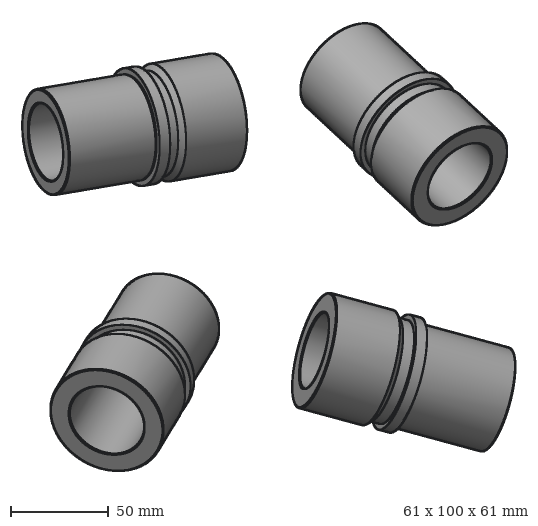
import cadquery as cq

length = 100.0
collar_start = 50.0
collar_width = 6.0
neck_end = 62.0
relief_width = 0.4

body_diameter = 61.0
spigot_diameter = 55.0
bore_diameter = 40.0

edge_chamfer = 0.5

body_radius = body_diameter / 2
spigot_radius = spigot_diameter / 2
bore_radius = bore_diameter / 2
collar_end = collar_start + collar_width

relief_start = collar_start - relief_width
relief_radius = spigot_radius - edge_chamfer

shoulder_end = neck_end + body_radius - spigot_radius

profile = [
    (bore_radius, edge_chamfer),
    (bore_radius + edge_chamfer, 0),
    (spigot_radius - edge_chamfer, 0),
    (spigot_radius, edge_chamfer),
    (spigot_radius, relief_start - edge_chamfer),
    (relief_radius, relief_start),
    (relief_radius, collar_start),
    (body_radius, collar_start),
    (body_radius, collar_end),
    (spigot_radius, collar_end),
    (spigot_radius, neck_end),
    (body_radius, shoulder_end),
    (body_radius, length - edge_chamfer),
    (body_radius - edge_chamfer, length),
    (bore_radius + edge_chamfer, length),
    (bore_radius, length - edge_chamfer),
]

result = (
    cq.Workplane("XY")
    .polyline(profile)
    .close()
    .revolve(360, (0, 0, 0), (0, 1, 0))
)